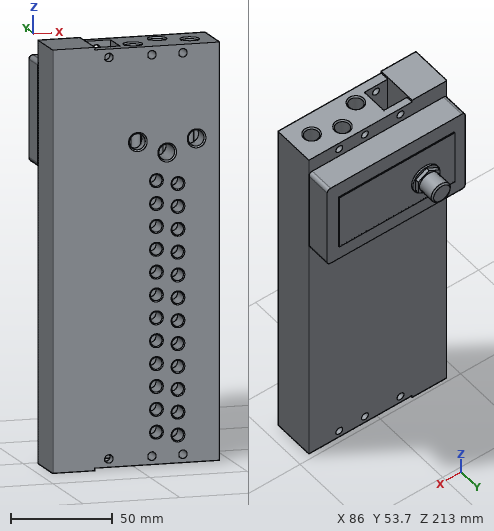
import cadquery as cq

WIDTH = 86.0
LENGTH = 213.0
BLOCK_DEPTH = 25.0
RAIL_WIDTH = 21.7
SIDE_EDGE_RADIUS = 0.5
END_STEP = 1.3

DUCT_WIDTH = 14.5
DUCT_HEIGHT = 15.5
DUCT_FRONT = 5.3

CHANNEL_DIAMETER = 6.0
CHANNELS = [
    (43.9, 45.0, 8.3, 49.0),
    (59.0, 59.0, 17.0, 55.2),
    (74.1, 73.3, 11.7, 49.0),
]
PORT_DIAMETER = 8.0
PORT_CHAMFER = 0.75
PORT_FLOOR_SETBACK = 1.7
END_PORT_DEPTH = 10.6

OUTLET_COLUMNS = [(53.5, 69.0), (64.5, 71.1)]
OUTLET_COUNT = 12
OUTLET_PITCH = 11.5
OUTLET_DIAMETER = 6.0
OUTLET_CHAMFER = 0.53
OUTLET_DEPTH = 10.6

SCREW_X = [29.0, 51.1, 67.0]
SCREW_DIAMETER = 4.3
SCREW_END_DISTANCE = 5.5

HOUSING_TOP = LENGTH - 10.5
HOUSING_LENGTH = 53.7
HOUSING_DEPTH = 14.7
HOUSING_CORNER = 2.1
LABEL_WIDTH = 72.0
LABEL_LENGTH = 35.1
LABEL_TOP = LENGTH - 20.0
LABEL_THICKNESS = 0.6

CONNECTOR_X = 25.5
CONNECTOR_Z = LENGTH - 40.3
FLANGE_DIAMETER = 16.8
FLANGE_REAR = 41.3
HEX_ACROSS_CORNERS = 15.5
HEX_REAR = 43.5
PLUG_DIAMETER = 12.0
PLUG_CHAMFER = 0.9
PLUG_REAR = 53.7

HOUSING_REAR = BLOCK_DEPTH + HOUSING_DEPTH


def box(x, y, z, width, depth, height):
    """Box with its lowest corner at (x, y, z)."""
    return cq.Workplane("XY").box(width, depth, height, centered=False).translate((x, y, z))


def facing_rear(y, x, z):
    """Workplane at depth y, centred on (x, z), whose normal points to +Y."""
    return cq.Workplane(cq.Plane(origin=(x, y, z), xDir=(1, 0, 0), normal=(0, 1, 0)))


def chamfered_hole(start, direction, diameter, depth, chamfer):
    """Cutter for a flat-bottomed hole with a chamfered mouth at start."""
    origin = cq.Vector(*start)
    axis = cq.Vector(*direction)
    radius = diameter / 2
    bore = cq.Solid.makeCylinder(radius, depth, origin, axis)
    mouth = cq.Solid.makeCone(radius + chamfer, radius, chamfer, origin, axis)
    return cq.Workplane(obj=bore).union(cq.Workplane(obj=mouth))


def make_block():
    rail = box(0, 0, 0, RAIL_WIDTH, BLOCK_DEPTH, LENGTH)
    main = box(0, 0, END_STEP, WIDTH, BLOCK_DEPTH, LENGTH - 2 * END_STEP)
    duct = box(RAIL_WIDTH, DUCT_FRONT, 0, DUCT_WIDTH, DUCT_HEIGHT, LENGTH)
    body = rail.union(main).edges("|Z").edges("<X or >X").fillet(SIDE_EDGE_RADIUS)
    return body.cut(duct)


def cut_channels(block):
    """Drill each air channel with its front port and its port in the top end."""
    for port_x, channel_x, channel_y, port_drop in CHANNELS:
        channel = cq.Workplane("XY").center(channel_x, channel_y)
        channel = channel.circle(CHANNEL_DIAMETER / 2).extrude(LENGTH)
        front_start = (port_x, 0, LENGTH - port_drop)
        front_depth = channel_y - PORT_FLOOR_SETBACK
        front_port = chamfered_hole(front_start, (0, 1, 0), PORT_DIAMETER, front_depth, PORT_CHAMFER)
        end_start = (port_x, channel_y, LENGTH - END_STEP)
        end_port = chamfered_hole(end_start, (0, 0, -1), PORT_DIAMETER, END_PORT_DEPTH, PORT_CHAMFER)
        block = block.cut(channel).cut(front_port).cut(end_port)
    return block


def cut_outlets(block):
    for x, first_drop in OUTLET_COLUMNS:
        for row in range(OUTLET_COUNT):
            z = LENGTH - first_drop - row * OUTLET_PITCH
            outlet = chamfered_hole((x, 0, z), (0, 1, 0), OUTLET_DIAMETER, OUTLET_DEPTH, OUTLET_CHAMFER)
            block = block.cut(outlet)
    return block


def cut_screw_holes(block):
    for x in SCREW_X:
        for z in (SCREW_END_DISTANCE, LENGTH - SCREW_END_DISTANCE):
            hole = facing_rear(0, x, z).circle(SCREW_DIAMETER / 2).extrude(BLOCK_DEPTH)
            block = block.cut(hole)
    return block


def make_housing():
    case = box(0, BLOCK_DEPTH, HOUSING_TOP - HOUSING_LENGTH, WIDTH, HOUSING_DEPTH, HOUSING_LENGTH)
    case = case.edges("|Y").fillet(HOUSING_CORNER)
    label_x = (WIDTH - LABEL_WIDTH) / 2
    label_z = LABEL_TOP - LABEL_LENGTH
    label = box(label_x, HOUSING_REAR, label_z, LABEL_WIDTH, LABEL_THICKNESS, LABEL_LENGTH)
    return case.union(label)


def make_connector():
    """Flange, hexagon with two corners along Z, and cylindrical plug."""
    base = facing_rear(HOUSING_REAR, CONNECTOR_X, CONNECTOR_Z)
    flange = base.circle(FLANGE_DIAMETER / 2).extrude(FLANGE_REAR - HOUSING_REAR)
    hexagon = base.transformed(rotate=(0, 0, 90)).polygon(6, HEX_ACROSS_CORNERS)
    hexagon = hexagon.extrude(HEX_REAR - HOUSING_REAR)
    plug = base.circle(PLUG_DIAMETER / 2).extrude(PLUG_REAR - HOUSING_REAR)
    plug = plug.faces(">Y").chamfer(PLUG_CHAMFER)
    return flange.union(hexagon).union(plug)


block = cut_screw_holes(cut_outlets(cut_channels(make_block())))
result = block.union(make_housing()).union(make_connector())